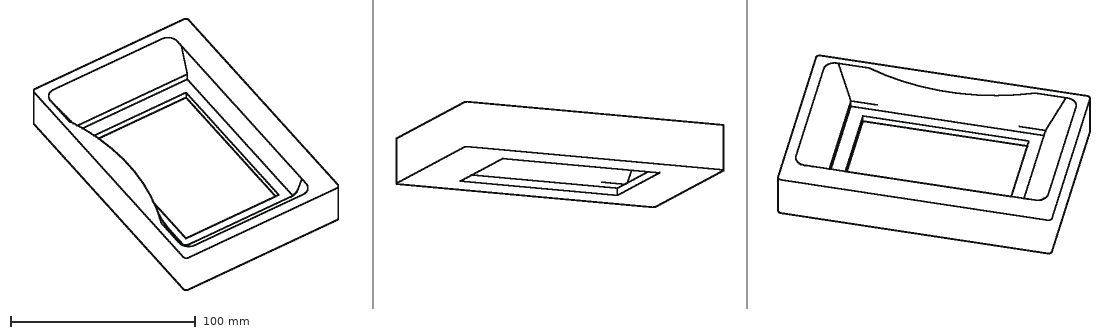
import cadquery as cq

length = 152.0
width = 100.0
height = 25.0
outer_corner_radius = 2.0

seat_length = 108.0
seat_width = 72.0
floor_thickness = 4.0
seat_depth = 4.0
window_length = 92.0
window_width = 60.0

side_rim = 6.0
front_rim = 4.0
mouth_corner_radius = 6.0

bulge_length = 92.0
bulge_rise = 9.2

mouth_centre_y = -3.9

funnel_bottom = floor_thickness + seat_depth
seat_x = seat_length / 2
seat_y = seat_width / 2
mouth_x = length / 2 - side_rim
mouth_back = seat_y
mouth_front = front_rim - width / 2
bulge_x = bulge_length / 2


def frame_body():
    """Solid block with rounded vertical edges, standing on Z = 0."""
    block = cq.Workplane("XY").box(length, width, height, centered=(True, True, False))
    return block.edges("|Z").fillet(outer_corner_radius)


def seat_point(mouth_point):
    """Point on the seat rectangle at the same angle as a point on the mouth."""
    x = mouth_point[0]
    y = mouth_point[1] - mouth_centre_y
    shrink = min(seat_x / abs(x), seat_y / abs(y))
    return (x * shrink, y * shrink)


def corner_ruling_start(edge_y):
    """Point on a straight mouth edge at the same angle as the right seat corner."""
    return (abs(edge_y - mouth_centre_y) * seat_x / seat_y, edge_y)


def mirrored(points):
    """The points reflected to the left half, in reverse order."""
    return [(-x, y) for x, y in reversed(points)]


def right_mouth_points():
    """Ends of the rulings on the right half of the mouth, from back to front."""
    r = mouth_corner_radius
    return [
        corner_ruling_start(mouth_back),
        (mouth_x - r, mouth_back),
        (mouth_x, mouth_back - r),
        (mouth_x, mouth_front + r),
        (mouth_x - r, mouth_front),
        corner_ruling_start(mouth_front),
        (bulge_x, mouth_front),
    ]


def mouth_outline(plane, right):
    """Rounded pocket mouth with an inward bulge in its front edge."""
    r = mouth_corner_radius
    back_corner, back_end, side_back, side_front, front_end, front_corner, bulge_end = right
    left = mirrored(right)
    return (
        plane.moveTo(*back_corner)
        .lineTo(*back_end)
        .radiusArc(side_back, r)
        .lineTo(*side_front)
        .radiusArc(front_end, r)
        .lineTo(*front_corner)
        .lineTo(*bulge_end)
        .threePointArc((0, mouth_front + bulge_rise), left[0])
        .lineTo(*left[1])
        .lineTo(*left[2])
        .radiusArc(left[3], r)
        .lineTo(*left[4])
        .radiusArc(left[5], r)
        .lineTo(*left[6])
        .close()
    )


def funnel():
    """Ruled transition from the seat rectangle up to the pocket mouth."""
    right = right_mouth_points()
    seat_points = [seat_point(point) for point in right + mirrored(right)]
    seat = cq.Workplane("XY").workplane(offset=funnel_bottom).polyline(seat_points).close()
    mouth_plane = seat.workplane(offset=height - funnel_bottom)
    return mouth_outline(mouth_plane, right).loft(ruled=True)


def seat_recess():
    """Rectangular recess between the floor and the funnel."""
    plane = cq.Workplane("XY").workplane(offset=floor_thickness)
    return plane.rect(seat_length, seat_width).extrude(seat_depth)


def window():
    """Rectangular opening through the floor."""
    return cq.Workplane("XY").rect(window_length, window_width).extrude(floor_thickness)


result = frame_body().cut(window()).cut(seat_recess()).cut(funnel(), clean=False)